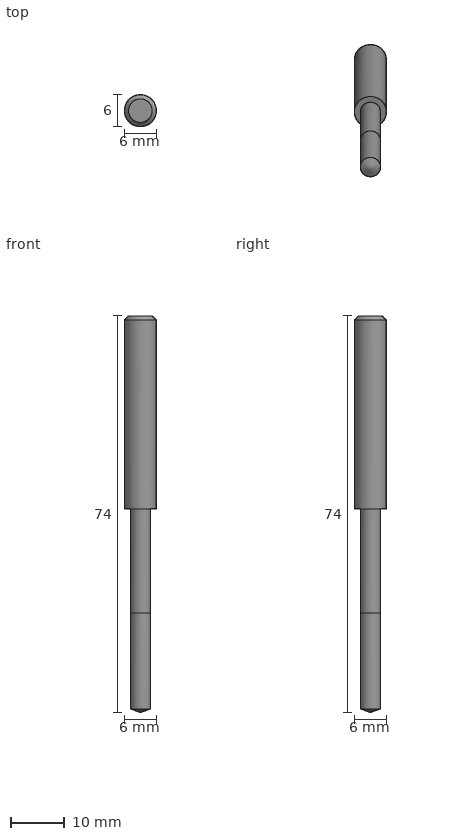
import cadquery as cq
import math

overall_length = 74.0
shank_length = 36.0
shank_diameter = 6.0
shank_chamfer = 0.8
drill_diameter = 3.78
cutting_length = 18.6
point_angle = 140.0

shank_radius = shank_diameter / 2
drill_radius = drill_diameter / 2
point_height = drill_radius / math.tan(math.radians(point_angle / 2))
shank_bottom = overall_length - shank_length


def revolve_profile(points):
    """Turn a closed (radius, height) outline about the Z axis."""
    return cq.Workplane("XZ").polyline(points).close().revolve(360, (0, 0), (0, 1))


def make_cutting_part():
    """Cylinder ending in a conical point."""
    return revolve_profile([
        (0, 0),
        (drill_radius, point_height),
        (drill_radius, cutting_length),
        (0, cutting_length),
    ])


def make_holder():
    """Neck that sits on the cutting part and carries the chamfered shank."""
    return revolve_profile([
        (0, cutting_length),
        (drill_radius, cutting_length),
        (drill_radius, shank_bottom),
        (shank_radius, shank_bottom),
        (shank_radius, overall_length - shank_chamfer),
        (shank_radius - shank_chamfer, overall_length),
        (0, overall_length),
    ])


cutting_part = make_cutting_part()
holder = make_holder()

result = cq.Compound.makeCompound([cutting_part.val(), holder.val()])